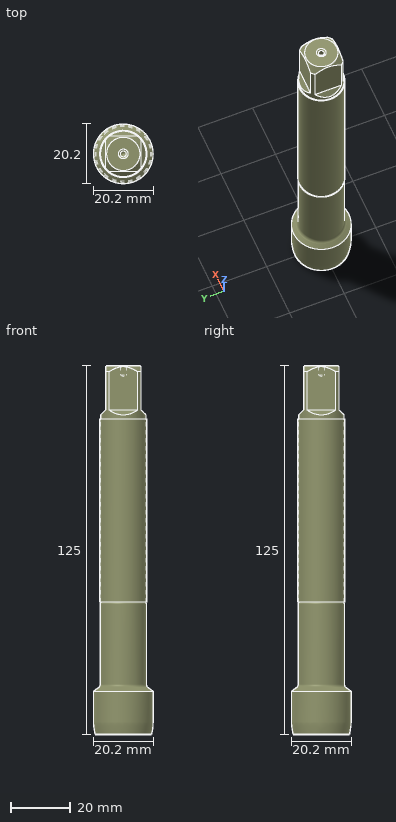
import cadquery as cq
import math

TOTAL_HEIGHT = 125.0
BEVEL_TOP = 0.5
NOSE_TOP = 4.2
HEAD_SIDE_TOP = 14.9
HEAD_CHAMFER_TOP = 16.0
NECK_FILLET_TOP = 17.1
NECK_TOP = 44.2
SLEEVE_BOTTOM = 45.0
SLEEVE_TOP = 106.9
SQUARE_BOTTOM = 110.0

HEAD_RADIUS = 20.2 / 2
NOSE_RADIUS = 9.6
UNDERSIDE_RADIUS = 9.2
HEAD_CHAMFER_RADIUS = 8.6
NECK_RADIUS = 15.8 / 2
CORE_RADIUS = 15.4 / 2
SLEEVE_RADIUS = 16.0 / 2
TOP_FACE_RADIUS = 5.6

SQUARE_WIDTH = 12.0
SIDES = 4

HOLE_RADIUS = 2.0 / 2
COUNTERSINK_RADIUS = 1.6
HOLE_DEPTH = 3.1
CONE_HALF_ANGLE = 60.0


def bulge_point(start, end, bulge):
    """Middle of an arc that leaves its chord by bulge, to the left of start-to-end."""
    dx = end[0] - start[0]
    dz = end[1] - start[1]
    chord = math.hypot(dx, dz)
    middle_x = (start[0] + end[0]) / 2
    middle_z = (start[1] + end[1]) / 2
    return (middle_x - bulge * dz / chord, middle_z + bulge * dx / chord)


def turned_blank():
    """Head, neck, core and drive end, before the flats are cut."""
    nose_bulge = 0.1
    fillet_bulge = 0.19
    nose_start = (NOSE_RADIUS, BEVEL_TOP)
    nose_end = (HEAD_RADIUS, NOSE_TOP)
    fillet_start = (HEAD_CHAMFER_RADIUS, HEAD_CHAMFER_TOP)
    fillet_end = (NECK_RADIUS, NECK_FILLET_TOP)
    top_chamfer = CORE_RADIUS - TOP_FACE_RADIUS
    return (
        cq.Workplane("XZ")
        .lineTo(UNDERSIDE_RADIUS, 0)
        .lineTo(*nose_start)
        .threePointArc(bulge_point(nose_start, nose_end, -nose_bulge), nose_end)
        .lineTo(HEAD_RADIUS, HEAD_SIDE_TOP)
        .lineTo(*fillet_start)
        .threePointArc(bulge_point(fillet_start, fillet_end, fillet_bulge), fillet_end)
        .lineTo(NECK_RADIUS, NECK_TOP)
        .lineTo(CORE_RADIUS, SLEEVE_BOTTOM)
        .lineTo(CORE_RADIUS, TOTAL_HEIGHT - top_chamfer)
        .lineTo(TOP_FACE_RADIUS, TOTAL_HEIGHT)
        .lineTo(0, TOTAL_HEIGHT)
        .close()
        .revolve(360, (0, 0, 0), (0, 1, 0))
    )


def flat_cutter():
    """Cutter for the +X flat, with a 45 degree run-out at its lower end."""
    flat = SQUARE_WIDTH / 2
    reach = CORE_RADIUS - flat
    return (
        cq.Workplane("XZ")
        .moveTo(flat, SQUARE_BOTTOM)
        .lineTo(CORE_RADIUS, SQUARE_BOTTOM - reach)
        .lineTo(CORE_RADIUS, TOTAL_HEIGHT)
        .lineTo(flat, TOTAL_HEIGHT)
        .close()
        .extrude(CORE_RADIUS, both=True)
    )


def centre_hole():
    """Countersunk blind hole with a conical bottom."""
    slope = math.tan(math.radians(CONE_HALF_ANGLE))
    countersink_depth = (COUNTERSINK_RADIUS - HOLE_RADIUS) / slope
    hole_bottom = TOTAL_HEIGHT - HOLE_DEPTH
    return (
        cq.Workplane("XZ")
        .moveTo(0, TOTAL_HEIGHT)
        .lineTo(COUNTERSINK_RADIUS, TOTAL_HEIGHT)
        .lineTo(HOLE_RADIUS, TOTAL_HEIGHT - countersink_depth)
        .lineTo(HOLE_RADIUS, hole_bottom)
        .lineTo(0, hole_bottom - HOLE_RADIUS / slope)
        .close()
        .revolve(360, (0, 0, 0), (0, 1, 0))
    )


def make_spindle():
    """Turned spindle with a square drive end."""
    body = turned_blank()
    for side in range(SIDES):
        body = body.cut(flat_cutter().rotate((0, 0, 0), (0, 0, 1), side * 360 / SIDES))
    return body.cut(centre_hole())


def make_sleeve():
    """Thin sleeve around the core."""
    return (
        cq.Workplane("XY", origin=(0, 0, SLEEVE_BOTTOM))
        .circle(SLEEVE_RADIUS)
        .circle(CORE_RADIUS)
        .extrude(SLEEVE_TOP - SLEEVE_BOTTOM)
    )


spindle = make_spindle()
sleeve = make_sleeve()
result = cq.Compound.makeCompound([spindle.val(), sleeve.val()])